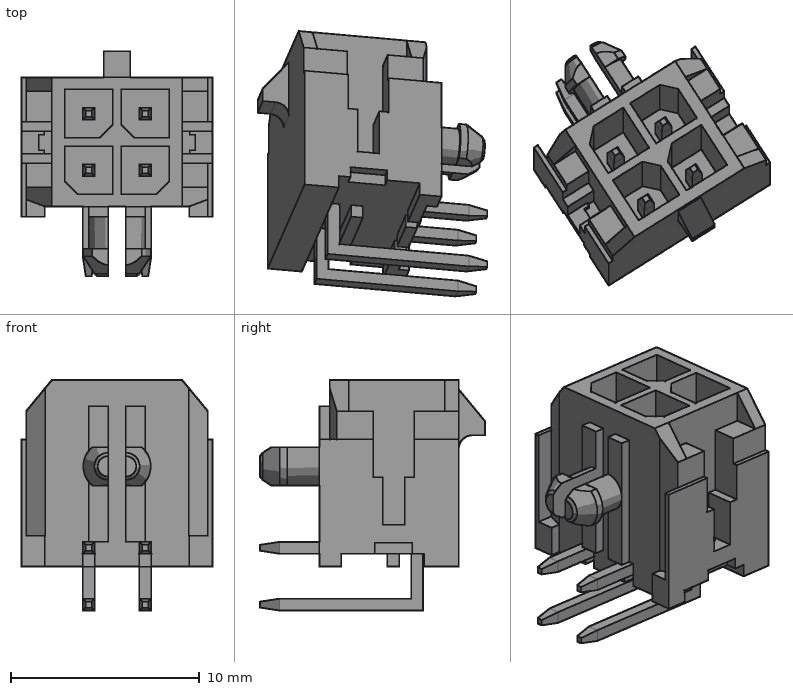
import cadquery as cq


height = 9.91
depth = 6.85
core_width = 6.9
block_width = 9.64
overall_width = 10.15
shoulder_z = 8.25
plate_top_z = 6.75
front_y = -0.55

front_gusset_depth = 1.02
rear_gusset_depth = 0.74

corner_inner_x = 3.81
corner_setback = 0.38

foot_inner_x = 3.83
foot_height = 1.63
underside_z = 0.68
clearance_front_y = 0.62
clearance_rear_y = 5.0
side_recess_y = (2.38, 4.37)
side_recess_top_z = 1.27
side_recess_depth = 0.6
cross_bar_y = 3.375

notch_y = 3.4
upper_notch_width = 2.18
upper_notch_z = 4.73
lower_notch_width = 1.18
lower_notch_z = 2.23
pocket_bar_x = 3.85
pocket_stem_x = 4.16
pocket_stem_width = 0.8
pocket_floor_z = 1.57

pitch = 3.0
pin_size = 0.64
pin_tip_size = 0.32
pin_tip_length = 1.04
pin_end_y = -3.704
pin_x = pitch / 2
front_row_y = 1.93
cavity_size = 2.56
cavity_chamfer = 0.7
cavity_floor_z = 2.4
contact_top_z = 6.5
lower_pin_z = -2.334
leg_rear_y = 4.96

slot_half_width = 0.46
rib_outer_x = 1.5
rib_z = (underside_z + pin_size, 8.52)
peg_z = 5.32
peg_half_height = 1.02
peg_axis_x = 0.48
shaft_radius = peg_half_height
head_radius = 1.31
head_start_y = -2.24
head_cone_y = -2.64
head_nose_y = -3.56
nose_radius = 0.72
tip_radius = 0.54

latch_width = 1.43
latch_rear_y = 8.25
latch_top_z = 9.4
latch_corner_z = 7.71
latch_lip_z = 6.96
latch_fillet = 0.72


def box(x, y, z):
    """Box spanning the given (low, high) pairs."""
    size = (x[1] - x[0], y[1] - y[0], z[1] - z[0])
    return cq.Workplane("XY").box(*size, centered=False).translate((x[0], y[0], z[0]))


def centred_box(width, y, z):
    """Box of the given width, symmetric about X = 0."""
    return box((-width / 2, width / 2), y, z)


def both_sides(shape):
    """The shape together with its mirror image across X = 0."""
    return shape.union(shape.mirror("YZ"))


def gusset_section(y_start, y_end):
    """Slice of the core with sloped flanks running down to the shoulders."""
    outline = [
        (-block_width / 2, shoulder_z),
        (-core_width / 2, height),
        (core_width / 2, height),
        (block_width / 2, shoulder_z),
    ]
    section = cq.Workplane("XZ").polyline(outline).close().extrude(-(y_end - y_start))
    return section.translate((0, y_start, 0))


def slanted_corner():
    """Material removed from the right front corner of the housing."""
    outline = [
        (corner_inner_x, 0),
        (block_width / 2, corner_setback),
        (block_width / 2, 0),
    ]
    return cq.Workplane("XY").workplane(offset=foot_height).polyline(outline).close().extrude(height)


def side_notch():
    """Stepped notch and its T-shaped pocket on the right side."""
    core_x = core_width / 2
    outer_x = overall_width / 2

    def step(width, floor_z, ceiling_z, end_x):
        span = (notch_y - width / 2, notch_y + width / 2)
        return box((core_x, end_x), span, (floor_z, ceiling_z))

    notch = step(upper_notch_width, upper_notch_z, height, outer_x)
    notch = notch.union(step(lower_notch_width, lower_notch_z, upper_notch_z, outer_x))
    notch = notch.union(step(lower_notch_width, pocket_floor_z, lower_notch_z, pocket_bar_x))
    return notch.union(step(pocket_stem_width, pocket_floor_z, lower_notch_z, pocket_stem_x))


def housing_shell():
    """Outer housing with shoulders, side plates, feet and underside clearance."""
    shell = centred_box(core_width, (0, depth), (0, height))
    shell = shell.union(centred_box(block_width, (0, depth), (0, shoulder_z)))
    shell = shell.union(gusset_section(0, front_gusset_depth))
    shell = shell.union(gusset_section(depth - rear_gusset_depth, depth))
    shell = shell.cut(both_sides(slanted_corner()))

    plate = box((block_width / 2, overall_width / 2), (front_y, depth), (0, plate_top_z))
    foot = box((foot_inner_x, overall_width / 2), (front_y, clearance_front_y), (0, foot_height))
    shell = shell.union(both_sides(plate.union(foot)))
    shell = shell.cut(both_sides(side_notch()))

    clearance_y = (clearance_front_y, clearance_rear_y)
    shell = shell.cut(centred_box(overall_width, clearance_y, (0, underside_z)))
    recess_x = (overall_width / 2 - side_recess_depth, overall_width / 2)
    recess = box(recess_x, side_recess_y, (underside_z, side_recess_top_z))
    shell = shell.cut(both_sides(recess))

    pin_exit_x = (pin_x - pin_size / 2, pin_x + pin_size / 2)
    pin_exit = box(pin_exit_x, (0, clearance_front_y), (0, underside_z))
    shell = shell.cut(both_sides(pin_exit))

    bar_y = (cross_bar_y - pin_size / 2, cross_bar_y + pin_size / 2)
    return shell.union(centred_box(pitch + pin_size, bar_y, (0, underside_z)))


def cavity(row_y, chamfered_edge):
    """Right-hand contact cavity with one keyed vertical edge."""
    half = cavity_size / 2
    body = box(
        (pin_x - half, pin_x + half),
        (row_y - half, row_y + half),
        (cavity_floor_z, height),
    )
    return body.edges("|Z").edges(chamfered_edge).chamfer(cavity_chamfer)


def tapered_bar(length):
    """Square pin along +Z from the origin, ending in a blunt pyramid."""
    straight = length - pin_tip_length
    bar = cq.Workplane("XY").rect(pin_size, pin_size).extrude(straight)
    tip = (
        cq.Workplane("XY")
        .workplane(offset=straight)
        .rect(pin_size, pin_size)
        .workplane(offset=pin_tip_length)
        .rect(pin_tip_size, pin_tip_size)
        .loft()
    )
    return bar.union(tip)


def solder_pin(bottom_z):
    """Horizontal right-hand solder pin pointing toward -Y."""
    bar = tapered_bar(leg_rear_y - pin_end_y).rotate((0, 0, 0), (1, 0, 0), 90)
    return bar.translate((pin_x, leg_rear_y, bottom_z + pin_size / 2))


def right_pins():
    """The two contacts, two solder pins and vertical leg right of the symmetry plane."""
    pins = solder_pin(underside_z).union(solder_pin(lower_pin_z))
    leg_x = (pin_x - pin_size / 2, pin_x + pin_size / 2)
    leg_y = (leg_rear_y - pin_size, leg_rear_y)
    pins = pins.union(box(leg_x, leg_y, (lower_pin_z, cavity_floor_z)))
    contact = tapered_bar(contact_top_z - underside_z)
    for row_y in (front_row_y, front_row_y + pitch):
        pins = pins.union(contact.translate((pin_x, row_y, underside_z)))
    return pins


def right_peg_half():
    """Right half of the split peg: a shaft and a conical head with flat top and bottom."""
    profile = [
        (0, 0),
        (shaft_radius, 0),
        (shaft_radius, head_start_y),
        (head_radius, head_start_y),
        (head_radius, head_cone_y),
        (nose_radius, head_nose_y),
        (tip_radius, pin_end_y),
        (0, pin_end_y),
    ]
    peg = cq.Workplane("XY").polyline(profile).close().revolve(360, (0, 0, 0), (0, 1, 0))
    half_z = (-peg_half_height, peg_half_height)
    half_x = (slot_half_width - peg_axis_x, head_radius)
    peg = peg.intersect(box(half_x, (pin_end_y, 0), half_z))
    return peg.translate((peg_axis_x, 0, peg_z))


def latch():
    """Wedge-shaped latch on the rear face with a concave fillet below it."""
    return (
        cq.Workplane("YZ")
        .moveTo(depth, latch_top_z)
        .lineTo(latch_rear_y, latch_corner_z)
        .lineTo(latch_rear_y, latch_lip_z)
        .lineTo(depth + latch_fillet, latch_lip_z)
        .radiusArc((depth, latch_lip_z - latch_fillet), -latch_fillet)
        .close()
        .extrude(latch_width / 2, both=True)
    )


rear_cavity = cavity(front_row_y + pitch, "<X and <Y")
front_cavity = cavity(front_row_y, ">X and <Y")
rib = box((slot_half_width, rib_outer_x), (front_y, 0), rib_z)

result = housing_shell().cut(both_sides(rear_cavity.union(front_cavity)))
result = result.union(both_sides(rib.union(right_peg_half())))
result = result.union(latch())
result = result.union(both_sides(right_pins()))